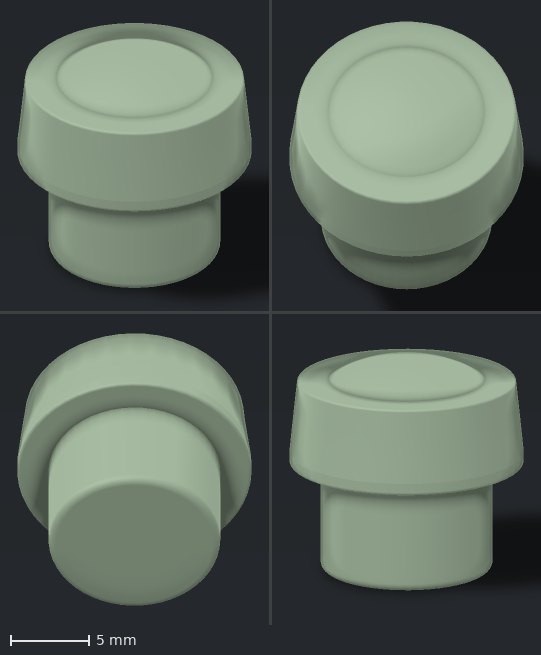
import cadquery as cq

stem_radius = 11.0 / 2
stem_length = 7.0
stem_edge_fillet = 0.5

rim_radius = 15.0 / 2
rim_height = 0.8
head_top_radius = 7.0
head_height = 5.6
head_edge_fillet = 0.2

total_height = 14.0
dome_base_radius = 5.0

rim_top_z = stem_length + rim_height
head_top_z = stem_length + head_height
dome_height = total_height - head_top_z
dome_sphere_radius = (dome_base_radius**2 + dome_height**2) / (2 * dome_height)


def make_stem():
    """Cylinder standing on Z = 0 with a rounded bottom edge."""
    stem = cq.Workplane("XY").circle(stem_radius).extrude(stem_length)
    return stem.faces("<Z").edges().fillet(stem_edge_fillet)


def make_head():
    """Revolved rim and taper with rounded top and bottom edges."""
    profile = (
        cq.Workplane("XZ")
        .moveTo(0, stem_length)
        .lineTo(rim_radius, stem_length)
        .lineTo(rim_radius, rim_top_z)
        .lineTo(head_top_radius, head_top_z)
        .lineTo(0, head_top_z)
        .close()
    )
    head = profile.revolve(360, (0, 0, 0), (0, 1, 0))
    return head.faces("<Z or >Z").edges().fillet(head_edge_fillet)


def make_dome():
    """Spherical cap centred on the flat top of the head."""
    sphere_centre_z = total_height - dome_sphere_radius
    cap_half_width = dome_base_radius / 2
    mid_z = sphere_centre_z + (dome_sphere_radius**2 - cap_half_width**2) ** 0.5
    profile = (
        cq.Workplane("XZ")
        .moveTo(0, head_top_z)
        .lineTo(dome_base_radius, head_top_z)
        .threePointArc((cap_half_width, mid_z), (0, total_height))
        .close()
    )
    return profile.revolve(360, (0, 0, 0), (0, 1, 0))


result = make_stem().union(make_head()).union(make_dome())